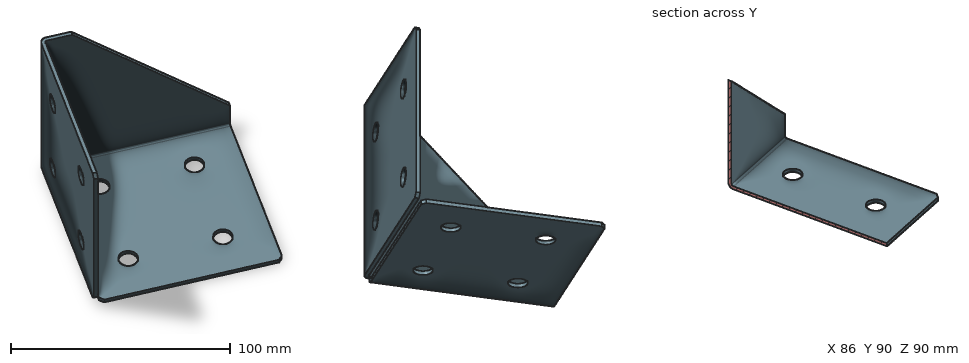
import cadquery as cq

width = 86.0
depth = 90.0
height = 90.0

thickness = 2.0
inner_radius = 1.0
bend_radius = thickness + inner_radius

corner_chamfer = 2.0
hole_diameter = 9.0
hole_pitch = 45.0
gusset_land = 15.0


def angle_profile(plane, leg):
    """L-shaped sheet section with a rounded bend at the origin corner."""
    return (
        cq.Workplane(plane)
        .moveTo(bend_radius, 0)
        .lineTo(width, 0)
        .lineTo(width, thickness)
        .lineTo(bend_radius, thickness)
        .radiusArc((thickness, bend_radius), inner_radius)
        .lineTo(thickness, leg)
        .lineTo(0, leg)
        .lineTo(0, bend_radius)
        .radiusArc((bend_radius, 0), -bend_radius)
        .close()
    )


def back_angle():
    """Upright plate, its vertical bend and the side wall."""
    body = angle_profile("XY", depth).extrude(height - bend_radius)
    body = body.translate((0, 0, bend_radius))
    return body.edges("|Y and >X").chamfer(corner_chamfer)


def base_angle():
    """Base plate, its horizontal bend and the side wall."""
    body = angle_profile("XZ", height).extrude(-(depth - bend_radius))
    body = body.translate((0, bend_radius, 0))
    return body.edges("|Z and >X").chamfer(corner_chamfer)


def gusset_cutter():
    """Triangular prism that slopes the outer corner of the side wall."""
    return (
        cq.Workplane("YZ")
        .moveTo(gusset_land, height)
        .lineTo(depth, height)
        .lineTo(depth, gusset_land)
        .close()
        .extrude(thickness)
    )


def plate_holes(plane, direction):
    """Square pattern of four holes, centred on the width and the leg."""
    return (
        cq.Workplane(plane)
        .center(width / 2, depth / 2)
        .rarray(hole_pitch, hole_pitch, 2, 2)
        .circle(hole_diameter / 2)
        .extrude(direction * thickness)
    )


result = (
    back_angle()
    .union(base_angle())
    .cut(gusset_cutter())
    .cut(plate_holes("XZ", -1))
    .cut(plate_holes("XY", 1))
)